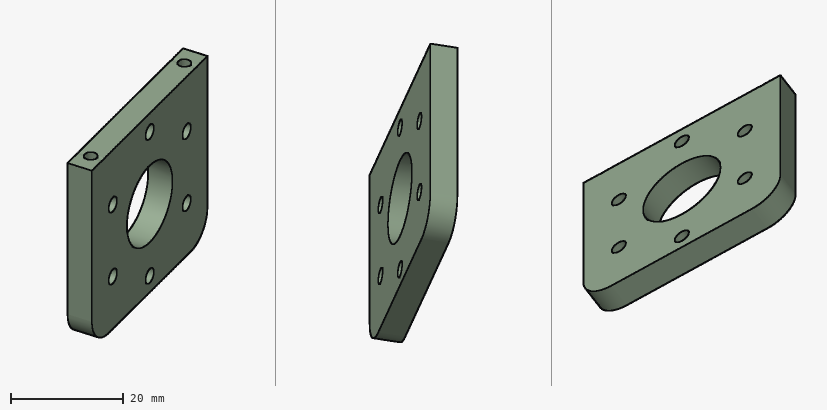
import cadquery as cq
import math

width = 41.95
thickness = 5.0
height = 38.5
bore_to_top = 19.5
corner_radius = 6.0
turn_angle = -45

bore_diameter = 16.5
bolt_circle_radius = 15.48
bolt_count = 6
bolt_diameter = 3.0

edge_hole_spacing = 34.0
edge_hole_diameter = 2.45
edge_hole_depth = 10.0
drill_tip_angle = 118
groove_width = 1.3
groove_depth = 0.08


def make_plate():
    center_z = bore_to_top - height / 2
    plate = cq.Workplane("XY").box(width, thickness, height).translate((0, 0, center_z))
    return plate.edges("|Y and <Z").fillet(corner_radius)


def cross_cylinder(x, z, radius):
    """Cylinder along Y through the full plate thickness."""
    cylinder = cq.Workplane("XZ").circle(radius).extrude(thickness)
    return cylinder.translate((x, thickness / 2, z))


def make_edge_hole(x):
    """Vertical blind hole with a conical drill tip."""
    radius = edge_hole_diameter / 2
    tip_height = radius / math.tan(math.radians(drill_tip_angle / 2))
    floor_z = bore_to_top - edge_hole_depth
    profile = [(0, bore_to_top), (radius, bore_to_top), (radius, floor_z), (0, floor_z - tip_height)]
    hole = cq.Workplane("XZ").polyline(profile).close().revolve(360, (0, 0), (0, 1))
    return hole.translate((x, 0, 0))


def make_groove(x):
    """Shallow arc-bottomed groove across the top edge."""
    radius = ((groove_width / 2) ** 2 + groove_depth**2) / (2 * groove_depth)
    return cross_cylinder(x, bore_to_top - groove_depth + radius, radius)


result = make_plate().cut(cross_cylinder(0, 0, bore_diameter / 2))

for index in range(bolt_count):
    angle = math.radians(90 + index * 360 / bolt_count)
    bolt_x = bolt_circle_radius * math.cos(angle)
    bolt_z = bolt_circle_radius * math.sin(angle)
    result = result.cut(cross_cylinder(bolt_x, bolt_z, bolt_diameter / 2))

for side in (-1, 1):
    edge_x = side * edge_hole_spacing / 2
    result = result.cut(make_edge_hole(edge_x)).cut(make_groove(edge_x))

result = result.rotate((0, 0, 0), (0, 0, 1), turn_angle)